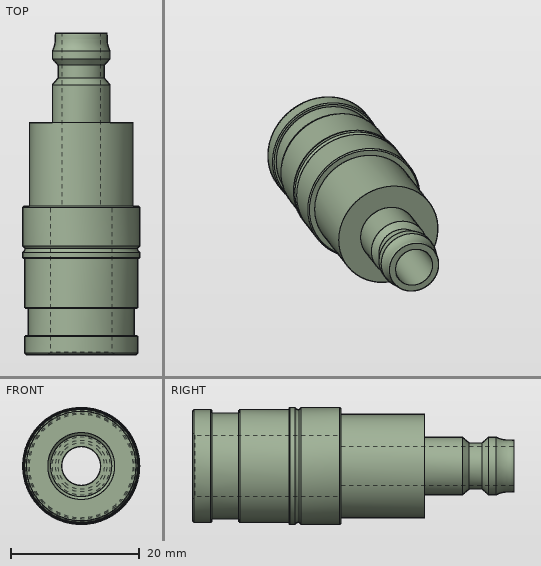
import cadquery as cq

collar_radius = 9.1
sleeve_radius = 8.8
groove_radius = 8.75
neck_radius = 8.25
body_radius = 8.05
plug_radius = 4.5
latch_groove_radius = 3.6
nose_tip_radius = 4.05
through_hole_radius = 3.0
bore_radius = 4.75

total_length = 50.0
rim_end = 3.05
neck_end = 7.2
sleeve_end = 15.0
ring_end = 15.95
groove_floor = 16.55
groove_end = groove_floor + collar_radius - groove_radius
collar_end = 23.1
body_end = 36.1
plug_shoulder = 41.95
latch_groove_start = 43.0
latch_groove_end = 45.0
nose_band_start = 46.0
nose_band_end = 47.2
nose_tip_start = 49.0

edge_chamfer = 0.2
ring_chamfer = 0.15
rim_chamfer = 0.3
nose_bevel_length = 0.35
nose_bevel_depth = 0.05
mouth_chamfer = 0.45
bore_depth = collar_end


def hollow_arc_radius(length, rise):
    """Radius of an arc that leaves the Y direction and climbs by rise over length."""
    return (length**2 + rise**2) / (2 * rise)


flare_radius = hollow_arc_radius(nose_tip_start - nose_band_end, plug_radius - nose_tip_radius)
groove_arc_radius = hollow_arc_radius(groove_floor - ring_end, collar_radius - groove_radius)


def cylinder(start, end, radius):
    """Solid cylinder on the Y axis between two stations."""
    return cq.Workplane("XZ", origin=(0, start, 0)).circle(radius).extrude(start - end)


def revolve_outline(outline):
    """Close a half outline, X as radius, and turn it about the Y axis."""
    return outline.close().revolve(360, (0, 0, 0), (0, 1, 0))


def make_groove():
    """Groove section: a hollow arc rising to the ring and a 45 degree cone rising to the collar."""
    outline = (
        cq.Workplane("XY")
        .moveTo(0, ring_end)
        .lineTo(collar_radius, ring_end)
        .radiusArc((groove_radius, groove_floor), groove_arc_radius)
        .lineTo(collar_radius, groove_end)
        .lineTo(0, groove_end)
    )
    return revolve_outline(outline)


def make_socket_shell():
    """Stepped outside of the socket half, from the mouth to the plug shoulder."""
    rim = cylinder(0, rim_end, sleeve_radius)
    rim = rim.faces("<Y").chamfer(rim_chamfer).faces(">Y").chamfer(edge_chamfer)
    neck = cylinder(0, neck_end, neck_radius)
    sleeve = cylinder(neck_end, sleeve_end, sleeve_radius).faces("<Y").chamfer(edge_chamfer)
    ring = cylinder(sleeve_end, ring_end, collar_radius).faces("<Y").chamfer(ring_chamfer)
    groove = make_groove()
    collar = cylinder(groove_end, collar_end, collar_radius).faces(">Y").chamfer(edge_chamfer)
    body = cylinder(collar_end, body_end, body_radius)
    shell = neck
    for section in (rim, sleeve, groove, ring, collar, body):
        shell = shell.union(section)
    return shell


def make_plug():
    """Turned plug with a V-sided latch groove and a nose that flares out along a hollow arc."""
    outline = (
        cq.Workplane("XY")
        .moveTo(0, body_end)
        .lineTo(plug_radius, body_end)
        .lineTo(plug_radius, plug_shoulder)
        .lineTo(latch_groove_radius, latch_groove_start)
        .lineTo(latch_groove_radius, latch_groove_end)
        .lineTo(plug_radius, nose_band_start)
        .lineTo(plug_radius, nose_band_end)
        .radiusArc((nose_tip_radius, nose_tip_start), flare_radius)
        .lineTo(nose_tip_radius, total_length - nose_bevel_length)
        .lineTo(nose_tip_radius - nose_bevel_depth, total_length)
        .lineTo(0, total_length)
    )
    return revolve_outline(outline)


def make_passage():
    """Through hole that opens into the chamfered socket bore."""
    profile = [
        (0, 0),
        (bore_radius + mouth_chamfer, 0),
        (bore_radius, mouth_chamfer),
        (bore_radius, bore_depth),
        (through_hole_radius, bore_depth),
        (through_hole_radius, total_length),
        (0, total_length),
    ]
    return revolve_outline(cq.Workplane("XY").polyline(profile))


result = make_socket_shell().union(make_plug()).cut(make_passage())